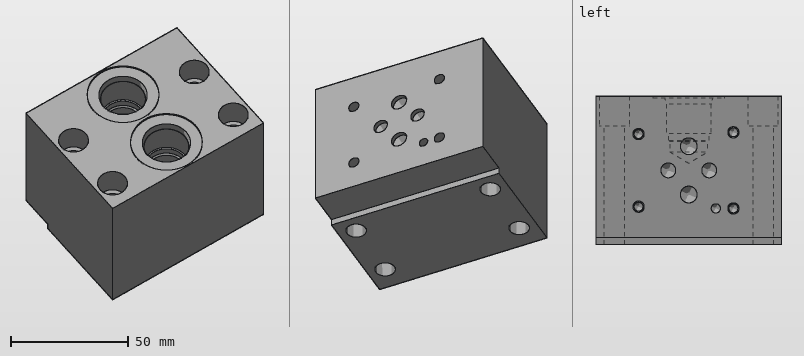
import cadquery as cq
import math

length_x = 63.5
width_y = 79.38
height_z = 63.5
notch_length = length_x / 4
notch_height = 3.0

port_positions = [(length_x / 4, 0), (length_x * 3 / 4, 0)]
spotface_diameter = 30.63
spotface_depth = 0.76
seat_mouth_diameter = 20.65
seat_end_diameter = 19.25
seat_depth = 2.6
port_thread_diameter = 19.05
port_thread_depth = 16.0
port_tap_diameter = 17.5
port_tap_depth = 19.0
port_drill_diameter = 15.88
port_drill_depth = 24.0

bolt_hole_diameter = 8.74
bolt_counterbore_diameter = 12.7
bolt_counterbore_depth = 12.7
bolt_first_x = 23.81
bolt_pitch_x = 28.58
bolt_pitch_y = 63.5

valve_center_z = height_z / 2
passage_depth = 2.0
main_passage_diameter = 7.14
main_passage_offset = 10.32
main_passages = [(0, valve_center_z + side * main_passage_offset) for side in (1, -1)]
work_passage_diameter = 6.35
work_passage_offset = 8.73
work_passages = [(side * work_passage_offset, valve_center_z) for side in (1, -1)]

mount_thread_diameter = 4.83
mount_thread_depth = 10.0
mount_drill_diameter = 3.79
mount_drill_depth = 13.0
mount_left_y = 21.43
mount_pitch_y = 40.5
mount_right_y = mount_left_y - mount_pitch_y
mount_left_pitch = 31.0
mount_right_pitch = 32.5
mount_holes = [
    (y, valve_center_z + side * pitch / 2)
    for y, pitch in ((mount_left_y, mount_left_pitch), (mount_right_y, mount_right_pitch))
    for side in (1, -1)
]

pin_diameter = 3.95
pin_depth = 5.0
pin_offset_y = 33.0
pin_position = (mount_left_y - pin_offset_y, valve_center_z - mount_right_pitch / 2)

drill_point_angle = 118.0


def drill_point_height(diameter):
    return diameter / 2 / math.tan(math.radians(drill_point_angle / 2))


def revolved_cutter(profile):
    """Solid around Z from (diameter, depth) pairs, opening at Z = 0 and ending in a drill point."""
    last_diameter, last_depth = profile[-1]
    points = [(0, 0)]
    points += [(diameter / 2, -depth) for diameter, depth in profile]
    points.append((0, -last_depth - drill_point_height(last_diameter)))
    return cq.Workplane("XZ").polyline(points).close().revolve(360, (0, 0, 0), (0, 1, 0))


def valve_face_cutter(profile, position):
    """Drilled hole running in +X from the valve face at (y, z)."""
    y, z = position
    return revolved_cutter(profile).rotate((0, 0, 0), (0, 1, 0), -90).translate((0, y, z))


def drilled(diameter, depth):
    return [(diameter, 0), (diameter, depth)]


def make_block():
    block = cq.Workplane("XY").box(length_x, width_y, height_z, centered=(False, True, False))
    notch = cq.Workplane("XY").box(notch_length, width_y, notch_height, centered=(False, True, False))
    return block.cut(notch)


def cut_ports(body):
    seat_end = spotface_depth + seat_depth
    tap_cone_height = drill_point_height(port_tap_diameter) - drill_point_height(port_drill_diameter)
    tap_cone_end = port_tap_depth + tap_cone_height
    profile = [
        (spotface_diameter, 0),
        (spotface_diameter, spotface_depth),
        (seat_mouth_diameter, spotface_depth),
        (seat_end_diameter, seat_end),
        (port_thread_diameter, seat_end),
        (port_thread_diameter, port_thread_depth),
        (port_tap_diameter, port_thread_depth),
        (port_tap_diameter, port_tap_depth),
        (port_drill_diameter, tap_cone_end),
        (port_drill_diameter, port_drill_depth),
    ]
    cutter = revolved_cutter(profile)
    for x, y in port_positions:
        body = body.cut(cutter.translate((x, y, height_z)))
    return body


def cut_bolt_holes(body):
    positions = [
        (bolt_first_x + column * bolt_pitch_x, side * bolt_pitch_y / 2)
        for column in range(2)
        for side in (1, -1)
    ]
    return (
        body.faces(">Z")
        .workplane(origin=(0, 0, height_z))
        .pushPoints(positions)
        .cboreHole(bolt_hole_diameter, bolt_counterbore_diameter, bolt_counterbore_depth)
    )


def cut_valve_face(body):
    mount_profile = [
        (mount_thread_diameter, 0),
        (mount_thread_diameter, mount_thread_depth),
        (mount_drill_diameter, mount_thread_depth),
        (mount_drill_diameter, mount_drill_depth),
    ]
    hole_groups = [
        (drilled(main_passage_diameter, passage_depth), main_passages),
        (drilled(work_passage_diameter, passage_depth), work_passages),
        (mount_profile, mount_holes),
        (drilled(pin_diameter, pin_depth), [pin_position]),
    ]
    for profile, positions in hole_groups:
        for position in positions:
            body = body.cut(valve_face_cutter(profile, position))
    return body


result = cut_valve_face(cut_bolt_holes(cut_ports(make_block())))